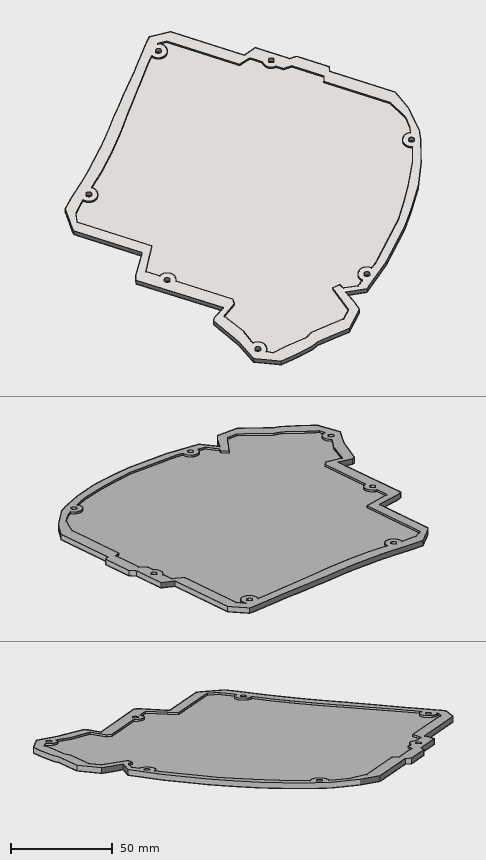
import cadquery as cq

thickness = 3.0
pocket_depth = 1.01

hole_diameter = 3.0
boss_diameter = 8.8
hole_centres = [
    (7.5, 161.7),
    (61.2, 177.2),
    (143.9, 157.0),
    (155.5, 70.4),
    (123.6, 6.5),
    (66.0, 29.8),
    (10.0, 65.2),
]

top_y = 184.2
shoulder_y = 181.6
left_shoulder_y = 175.2
right_x = 161.4
thumb_right_x = 160.5
left_bottom_y = 41.0

outer_top = [
    (8.5, left_shoulder_y),
    (47.7, left_shoulder_y),
    (50.8, shoulder_y),
    (69.0, shoulder_y),
    (71.8, top_y),
    (89.2, top_y),
    (90.5, shoulder_y),
    (125.3, shoulder_y),
]
outer_right = [
    (135.0, 174.8),
    (145.3, 163.8),
    (148.0, 159.1),
    (153.3, 146.6),
    (157.9, 131.3),
    (160.3, 115.9),
    (right_x, 105.0),
    (right_x, 81.0),
    (159.0, 61.7),
    (150.1, 55.8),
    (156.4, 51.8),
    (thumb_right_x, 48.5),
    (thumb_right_x, 35.4),
]
outer_bottom = [
    (149.2, 21.7),
    (147.7, 18.0),
    (142.0, 9.8),
    (137.0, 3.5),
    (134.8, 3.0),
    (124.0, 0.0),
    (113.3, 7.0),
    (96.7, 14.5),
    (96.3, 16.4),
    (98.2, 24.1),
    (73.9, 24.0),
    (51.8, 23.8),
    (50.5, 26.7),
    (48.0, left_bottom_y),
    (11.8, left_bottom_y),
]
outer_left = [
    (10.5, 42.4),
    (2.5, 52.5),
    (2.8, 59.7),
    (3.7, 71.1),
    (4.0, 78.3),
    (4.0, 96.2),
    (3.7, 103.9),
    (2.8, 115.5),
    (2.5, 122.0),
    (2.0, 129.7),
    (1.5, 145.0),
    (1.0, 151.5),
    (0.1, 164.3),
    (0.0, 168.2),
]

pocket_top_y = 177.8
pocket_shoulder_y = 174.6
pocket_left_shoulder_y = 169.0
pocket_right_x = 156.8
pocket_thumb_right_x = 155.5
pocket_middle_bottom_y = 30.8
pocket_left_bottom_y = 46.8

pocket_top = [
    (9.0, pocket_left_shoulder_y),
    (47.7, pocket_left_shoulder_y),
    (50.8, pocket_shoulder_y),
    (68.7, pocket_shoulder_y),
    (71.8, pocket_top_y),
    (89.0, pocket_top_y),
    (90.0, pocket_shoulder_y),
    (125.3, pocket_shoulder_y),
]
pocket_right = [
    (135.8, 169.1),
    (140.2, 164.0),
    (145.7, 153.5),
    (149.4, 144.8),
    (153.0, 130.0),
    (155.0, 120.3),
    (pocket_right_x, 108.5),
    (pocket_right_x, 78.7),
    (154.2, 61.7),
    (148.1, 57.8),
    (145.7, 59.1),
    (143.1, 55.8),
    (pocket_thumb_right_x, 46.2),
    (pocket_thumb_right_x, 39.8),
]
pocket_bottom = [
    (144.0, 26.0),
    (142.8, 21.7),
    (135.8, 13.0),
    (131.5, 7.0),
    (124.2, 5.9),
    (112.7, 14.2),
    (100.4, 19.3),
    (102.2, 28.5),
    (100.4, pocket_middle_bottom_y),
    (54.2, pocket_middle_bottom_y),
    (50.8, pocket_left_bottom_y),
    (11.2, pocket_left_bottom_y),
]
pocket_left = [
    (8.5, 52.0),
    (8.5, 59.3),
    (9.5, 71.0),
    (10.3, 81.0),
    (10.3, 94.0),
    (9.5, 108.1),
    (8.5, 119.0),
    (6.5, 144.8),
    (5.7, 153.8),
    (5.5, 166.0),
]


def prism(points, bottom_z, height):
    """Solid with a closed straight-sided outline."""
    return cq.Workplane("XY").workplane(offset=bottom_z).polyline(points).close().extrude(height)


def cylinders(diameter, bottom_z, height):
    """One upright cylinder on every hole centre."""
    plane = cq.Workplane("XY").workplane(offset=bottom_z)
    return plane.pushPoints(hole_centres).circle(diameter / 2).extrude(height)


floor_z = thickness - pocket_depth
plate = prism(outer_top + outer_right + outer_bottom + outer_left, 0, thickness)
pocket = prism(pocket_top + pocket_right + pocket_bottom + pocket_left, floor_z, pocket_depth)
bosses = cylinders(boss_diameter, floor_z, pocket_depth)
holes = cylinders(hole_diameter, 0, thickness)

result = plate.cut(pocket.cut(bosses)).cut(holes)